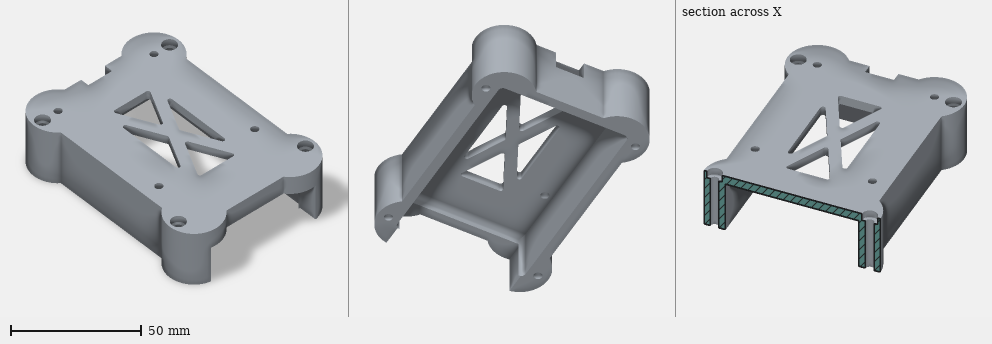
import cadquery as cq

length = 103.2
width = 74.2
height = 26.0

body_length = 93.3
body_width = 64.2
lobe_radius = 12.5
lobe_x = length / 2 - lobe_radius
lobe_y = width / 2 - lobe_radius

wall = 4.1
plate_thickness = 4.0
cavity_fillet = 2.0

port_width = 53.6
port_height = 17.3

screw_y = 32.6
screw_diameter = 3.5
screw_head_diameter = 6.5
screw_head_depth = 3.1

mount_diameter = 3.5
mount_pitch = 58.0

window_length = 50.0
window_width = 25.0
brace_half_width = 2.5
window_corner_radius = 1.0

notch_width = 12.2
notch_depth = 8.0


def make_body():
    """Rectangular block with a full-height cylinder at each corner."""
    body = cq.Workplane("XY").box(body_length, body_width, height, centered=(True, True, False))
    lobes = (
        cq.Workplane("XY")
        .rect(2 * lobe_x, 2 * lobe_y, forConstruction=True)
        .vertices()
        .circle(lobe_radius)
        .extrude(height)
    )
    return body.union(lobes)


def make_cavity():
    """Room under the top plate, with rounded upright corners and a rounded +X ceiling edge."""
    return (
        cq.Workplane("XY")
        .box(
            body_length - 2 * wall,
            body_width - 2 * wall,
            height - plate_thickness,
            centered=(True, True, False),
        )
        .edges("|Z or (>X and >Z)")
        .fillet(cavity_fillet)
    )


def make_window():
    """Four triangular openings left between two crossing diagonal braces."""
    half_length = window_length / 2
    half_width = window_width / 2
    slope = window_width / window_length
    tip_y = brace_half_width * (1 + slope**2) ** 0.5
    tip_x = tip_y / slope
    base_x = half_length - tip_x
    base_y = half_width - tip_y

    openings = cq.Workplane("XY")
    for side in (1, -1):
        for outline in (
            [(0, side * tip_y), (base_x, side * half_width), (-base_x, side * half_width)],
            [(side * tip_x, 0), (side * half_length, base_y), (side * half_length, -base_y)],
        ):
            opening = (
                cq.Workplane("XY")
                .polyline(outline)
                .close()
                .extrude(height)
                .edges("|Z")
                .fillet(window_corner_radius)
            )
            openings = openings.add(opening)
    return openings.combine()


def make_notch():
    """Connector notch through the -X wall, open at the top."""
    return (
        cq.Workplane("XY")
        .box(wall, notch_width, notch_depth, centered=(False, True, False))
        .translate((-body_length / 2, 0, height - notch_depth))
    )


def make_port():
    """Wide opening through the +X wall and the flanks of its two lobes."""
    inner_face = body_length / 2 - wall
    return (
        cq.Workplane("XY")
        .box(length / 2 - inner_face, port_width, port_height, centered=(False, True, False))
        .translate((inner_face, 0, 0))
    )


screw_points = [(x, y) for x in (-lobe_x, lobe_x) for y in (-screw_y, screw_y)]
mount_points = [(x, y) for x in (-lobe_x, mount_pitch - lobe_x) for y in (-lobe_y, lobe_y)]

result = (
    make_body()
    .cut(make_cavity())
    .cut(make_window())
    .cut(make_notch())
    .cut(make_port())
    .faces(">Z")
    .workplane(origin=(0, 0, height))
    .pushPoints(screw_points)
    .cboreHole(screw_diameter, screw_head_diameter, screw_head_depth)
    .pushPoints(mount_points)
    .hole(mount_diameter)
    .solids()
)